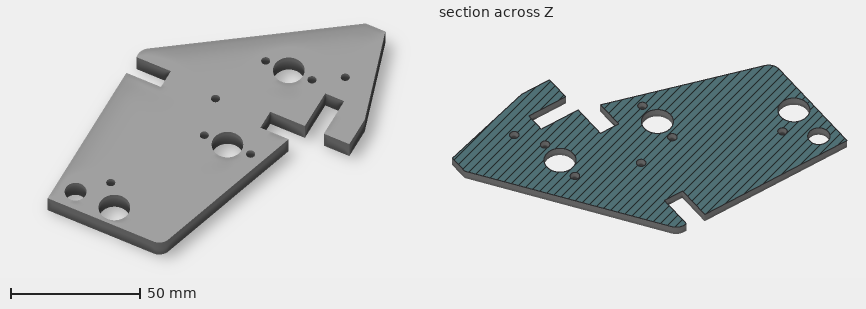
import cadquery as cq

width = 92.3
height = 130.2
thickness = 7.8

top_left_x = 71.9
top_right_x = 80.3
left_shoulder_y = 80.0
right_shoulder_y = 88.9
lower_corner_x = 49.5
lower_shoulder_x = 70.3
corner_radius = 5.0

notch_bottom = 67.3
notch_width = 8.5
notch_top = notch_bottom + notch_width
left_notch_depth = 15.0
right_notch_x = 58.1

slot_left = 73.0
slot_width = 8.2
slot_right = slot_left + slot_width
slot_top = 93.2

bore_diameter = 12.2
small_diameter = 3.5
corner_hole_diameter = 8.5
flank_spacing = 10.0
flanked_bores = [(55.5, 96.7), (50.4, 54.3)]
bottom_row_y = 7.7
corner_bore = (25.0, bottom_row_y)
corner_hole = (8.2, bottom_row_y)
single_holes = [(76.4, 103.6), (36.3, 71.9), (18.4, 17.7)]


def drill(plate, diameter, centres):
    """Cut through holes at the given centres."""
    cutter = cq.Workplane("XY").pushPoints(centres).circle(diameter / 2).extrude(thickness)
    return plate.cut(cutter)


outline = [
    (0, 0),
    (lower_corner_x, 0),
    (lower_shoulder_x, notch_bottom),
    (right_notch_x, notch_bottom),
    (right_notch_x, notch_top),
    (slot_left, notch_top),
    (slot_left, slot_top),
    (slot_right, slot_top),
    (slot_right, notch_top),
    (width, notch_top),
    (width, right_shoulder_y),
    (top_right_x, height),
    (top_left_x, height),
    (0, left_shoulder_y),
    (0, notch_top),
    (left_notch_depth, notch_top),
    (left_notch_depth, notch_bottom),
    (0, notch_bottom),
]
plate = cq.Workplane("XY").polyline(outline).close().extrude(thickness)

for corner_x, corner_y in [(0, left_shoulder_y), (lower_corner_x, 0)]:
    corner_edge = cq.selectors.NearestToPointSelector((corner_x, corner_y, thickness / 2))
    plate = plate.edges("|Z").edges(corner_edge).fillet(corner_radius)

flanking_holes = [
    (x + side * flank_spacing, y) for x, y in flanked_bores for side in (-1, 1)
]

plate = drill(plate, bore_diameter, flanked_bores + [corner_bore])
plate = drill(plate, small_diameter, flanking_holes + single_holes)
plate = drill(plate, corner_hole_diameter, [corner_hole])

result = plate